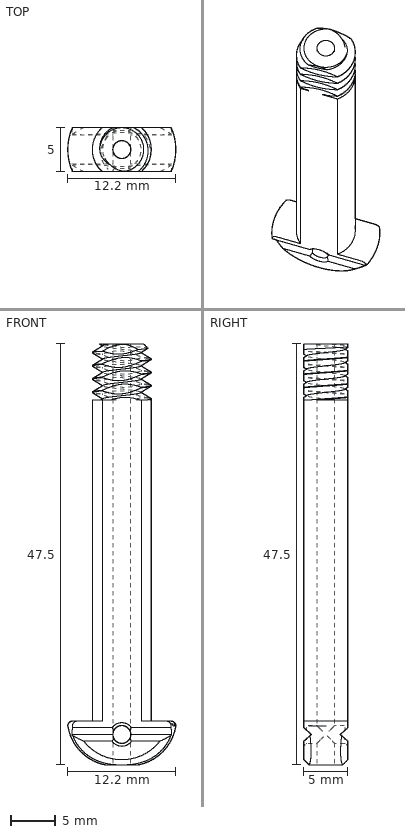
import cadquery as cq
import math

total_height = 47.5
thickness = 5.0

shank_radius = 3.3
shank_top = 41.15
bore_diameter = 2.0

rise_in_four_turns = 6.0
thread_pitch = rise_in_four_turns / 4
thread_root_diameter = 4.3
thread_root_radius = thread_root_diameter / 2
crest_flat = 0.07
thread_groove_overshoot = 0.025
thread_groove_lead = 2.15
thread_groove_turns = 7
tip_radius = 2.45

head_height = 5.0
head_diameter = 12.2
head_radius = head_diameter / 2
head_bottom_radius = 1.75
head_arc_radius = 4.23
head_arc_height = 1.15
rim_fillet = 0.55
bevel_face_radius = 5.45
bevel_size = 0.6

flat_groove_height = 3.45
flat_groove_depth = 0.85
flat_groove_half_width = 0.75
cross_hole_diameter = 2.0
countersink_diameter = 2.65

half_thickness = thickness / 2


def make_head():
    """Revolved rounded head, bevelled along both flats below the V grooves."""
    rim_bottom = head_height - rim_fillet
    fillet_reach = rim_fillet * math.sqrt(0.5)
    profile = (
        cq.Workplane("XZ")
        .lineTo(head_bottom_radius, 0)
        .threePointArc((head_arc_radius, head_arc_height), (head_radius, rim_bottom))
        .threePointArc(
            (head_radius - rim_fillet + fillet_reach, rim_bottom + fillet_reach),
            (head_radius - rim_fillet, head_height),
        )
        .lineTo(0, head_height)
        .close()
    )
    head = profile.revolve(360, (0, 0, 0), (0, 1, 0))
    return head.intersect(make_bevel_envelope())


def make_bevel_envelope():
    """45 degree double cone about a Y axis, left full above the V grooves."""
    axis_height = bevel_face_radius + bevel_size
    middle_radius = bevel_face_radius + half_thickness
    double_cone = (
        cq.Workplane("XY")
        .moveTo(0, -half_thickness)
        .lineTo(bevel_face_radius, -half_thickness)
        .lineTo(middle_radius, 0)
        .lineTo(bevel_face_radius, half_thickness)
        .lineTo(0, half_thickness)
        .close()
        .revolve(360, (0, 0, 0), (0, 1, 0))
        .translate((0, 0, axis_height))
    )
    upper_block = cq.Workplane("XY", origin=(0, 0, flat_groove_height)).box(
        2 * middle_radius, thickness, head_height, centered=(True, True, False)
    )
    return double_cone.union(upper_block)


def make_thread():
    """Threaded end: a rod with a 45 degree lead-in and a helical V groove."""
    rod = (
        cq.Workplane("XY", origin=(0, 0, shank_top))
        .circle(shank_radius)
        .extrude(total_height - shank_top)
        .faces(">Z")
        .chamfer(shank_radius - tip_radius)
    )
    crest_half_width = (thread_pitch - crest_flat) / 2
    flank_slope = crest_half_width / (shank_radius - thread_root_radius)
    outer_half_width = crest_half_width + thread_groove_overshoot * flank_slope
    outer_radius = shank_radius + thread_groove_overshoot
    path = cq.Wire.makeHelix(thread_pitch, thread_pitch * thread_groove_turns, thread_root_radius)
    groove = (
        cq.Workplane("XZ")
        .polyline([
            (thread_root_radius, 0),
            (outer_radius, outer_half_width),
            (outer_radius, -outer_half_width),
        ])
        .close()
        .sweep(cq.Workplane(path), isFrenet=True)
        .translate((0, 0, shank_top - thread_groove_lead))
    )
    return rod.cut(groove)


def cut_side_features(body):
    """V groove and countersunk cross hole on both flats."""
    cross_radius = cross_hole_diameter / 2
    sink_radius = countersink_diameter / 2
    sink_depth = sink_radius - cross_radius
    cross_hole = (
        cq.Workplane("XZ", origin=(0, 0, flat_groove_height))
        .circle(cross_radius)
        .extrude(half_thickness, both=True)
    )
    body = body.cut(cross_hole)
    for side in (-1, 1):
        face_y = side * half_thickness
        groove = (
            cq.Workplane("YZ")
            .polyline([
                (face_y, flat_groove_height + flat_groove_half_width),
                (face_y - side * flat_groove_depth, flat_groove_height),
                (face_y, flat_groove_height - flat_groove_half_width),
            ])
            .close()
            .extrude(head_radius, both=True)
        )
        sink = cq.Workplane(cq.Solid.makeCone(
            sink_radius, cross_radius, sink_depth,
            pnt=cq.Vector(0, face_y, flat_groove_height),
            dir=cq.Vector(0, -side, 0),
        ))
        body = body.cut(groove).cut(sink)
    return body


shank = (
    cq.Workplane("XY", origin=(0, 0, head_height))
    .circle(shank_radius)
    .extrude(shank_top - head_height)
)
flats = cq.Workplane("XY").box(
    2 * head_radius, thickness, total_height, centered=(True, True, False)
)
bore = cq.Workplane("XY").circle(bore_diameter / 2).extrude(total_height)

body = make_head().union(shank).union(make_thread()).intersect(flats)
result = cut_side_features(body).cut(bore)